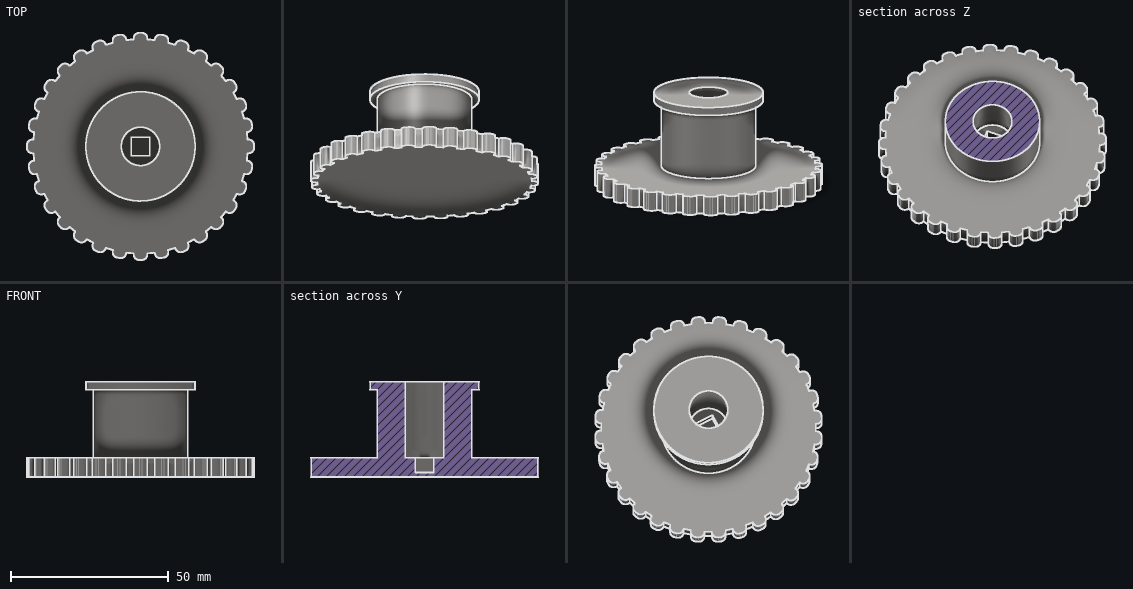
import cadquery as cq
import math

outer_diameter = 72.0
disc_height = 6.1
tooth_count = 32
tooth_height = 2.0
tooth_tip_flat = 0.8
tooth_corner_radius = 1.8

total_height = 30.2
hub_diameter = 30.0
flange_diameter = 34.6
flange_height = 2.6

bore_diameter = 12.2
socket_side = 5.8
socket_floor = 1.45

tip_radius = outer_diameter / 2
root_radius = tip_radius - tooth_height
flange_bottom = total_height - flange_height


def make_tooth():
    """Tooth on +X: a flat tip between two round corners that run down to the root."""
    corner_center_x = tip_radius - tooth_corner_radius
    half_flat = tooth_tip_flat / 2
    diagonal = tooth_corner_radius * math.sqrt(0.5)
    embedded_x = root_radius - tooth_height

    undercut_angle = math.asin((corner_center_x - root_radius) / tooth_corner_radius)
    half_root = half_flat + tooth_corner_radius * math.cos(undercut_angle)

    mid_x = corner_center_x + diagonal
    mid_y = half_flat + diagonal
    return (
        cq.Workplane("XY")
        .moveTo(embedded_x, -half_root)
        .lineTo(root_radius, -half_root)
        .threePointArc((mid_x, -mid_y), (tip_radius, -half_flat))
        .lineTo(tip_radius, half_flat)
        .threePointArc((mid_x, mid_y), (root_radius, half_root))
        .lineTo(embedded_x, half_root)
        .close()
        .extrude(disc_height)
    )


def make_toothed_disc():
    disc = cq.Workplane("XY").circle(root_radius).extrude(disc_height)
    tooth = make_tooth()
    for index in range(tooth_count):
        angle = index * 360 / tooth_count
        disc = disc.union(tooth.rotate((0, 0, 0), (0, 0, 1), angle))
    return disc


def make_flanged_hub():
    hub = cq.Workplane("XY").circle(hub_diameter / 2).extrude(total_height)
    flange = (
        cq.Workplane("XY", origin=(0, 0, flange_bottom))
        .circle(flange_diameter / 2)
        .extrude(flange_height)
    )
    return hub.union(flange)


def make_bore():
    bore = (
        cq.Workplane("XY", origin=(0, 0, disc_height))
        .circle(bore_diameter / 2)
        .extrude(total_height - disc_height)
    )
    socket = (
        cq.Workplane("XY", origin=(0, 0, socket_floor))
        .rect(socket_side, socket_side)
        .extrude(disc_height - socket_floor)
    )
    return bore.union(socket)


result = make_toothed_disc().union(make_flanged_hub()).cut(make_bore())